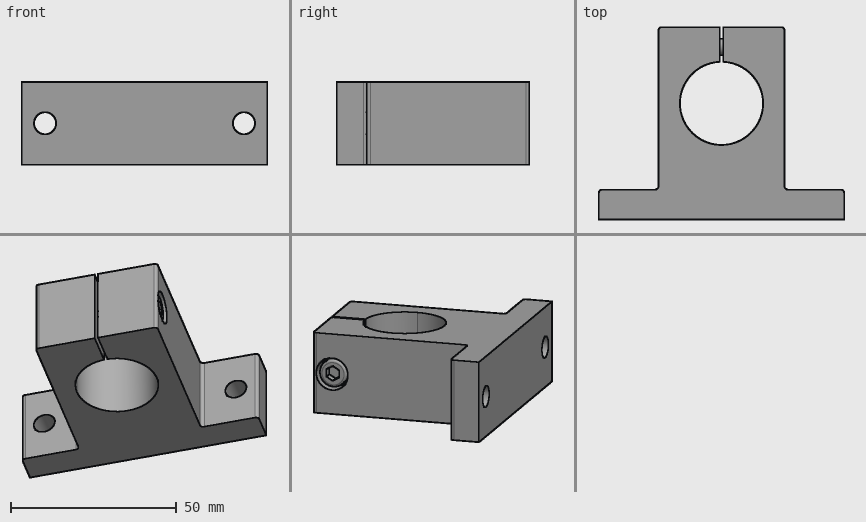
import cadquery as cq

base_length = 74.0
total_height = 58.0
thickness = 25.0
flange_height = 9.0
block_width = 38.0
edge_radius = 1.0

bore_diameter = 25.0
bore_height = 35.0
slot_width = 1.0

mount_hole_diameter = 6.6
mount_hole_spacing = 59.95

counterbore_diameter = 10.0
head_diameter = 8.6
head_length = 5.0
head_edge_radius = 0.8
head_recess = 0.75
shank_diameter = 5.0
hex_across_flats = 4.0
hex_depth = 2.95
screw_height = total_height - edge_radius - counterbore_diameter / 2


def make_body():
    """T-shaped block standing along Y, with all outline corners rounded except the base."""
    flange = cq.Workplane("XY").box(base_length, flange_height, thickness, centered=(True, False, True))
    block = cq.Workplane("XY").box(block_width, total_height, thickness, centered=(True, False, True))
    return flange.union(block).edges("|Z and (not <Y)").fillet(edge_radius)


def cut_clamp(body):
    """Cut the shaft bore and the slot that opens it to the top."""
    bore = (
        cq.Workplane("XY")
        .center(0, bore_height)
        .circle(bore_diameter / 2)
        .extrude(thickness / 2, both=True)
    )
    slot = (
        cq.Workplane("XY")
        .box(slot_width, total_height - bore_height, thickness, centered=(True, False, True))
        .translate((0, bore_height, 0))
    )
    return body.cut(bore).cut(slot)


def cut_mount_holes(body):
    """Drill the two holes through the flange along Y."""
    for side in (-1, 1):
        hole = (
            cq.Workplane("XZ")
            .center(side * mount_hole_spacing / 2, 0)
            .circle(mount_hole_diameter / 2)
            .extrude(-flange_height)
        )
        body = body.cut(hole)
    return body


def screw_plane(x):
    """Workplane on the screw axis, facing +X."""
    return cq.Workplane("YZ", origin=(x, screw_height, 0))


def fit_screw(body):
    """Sink a socket head screw into the -X side, with its shank bridging the slot."""
    side_x = -block_width / 2
    head_x = side_x + head_recess
    seat_x = head_x + head_length
    counterbore = screw_plane(side_x).circle(counterbore_diameter / 2).extrude(seat_x - side_x)
    head = screw_plane(head_x).circle(head_diameter / 2).extrude(head_length)
    head = head.faces("<X").edges().fillet(head_edge_radius)
    hex_across_corners = hex_across_flats / 3**0.5 * 2
    socket = (
        screw_plane(head_x)
        .transformed(rotate=(0, 0, 90))
        .polygon(6, hex_across_corners)
        .extrude(hex_depth)
    )
    shank = screw_plane(seat_x).circle(shank_diameter / 2).extrude(-2 * seat_x)
    return body.cut(counterbore).union(head.cut(socket)).union(shank)


result = fit_screw(cut_mount_holes(cut_clamp(make_body())))